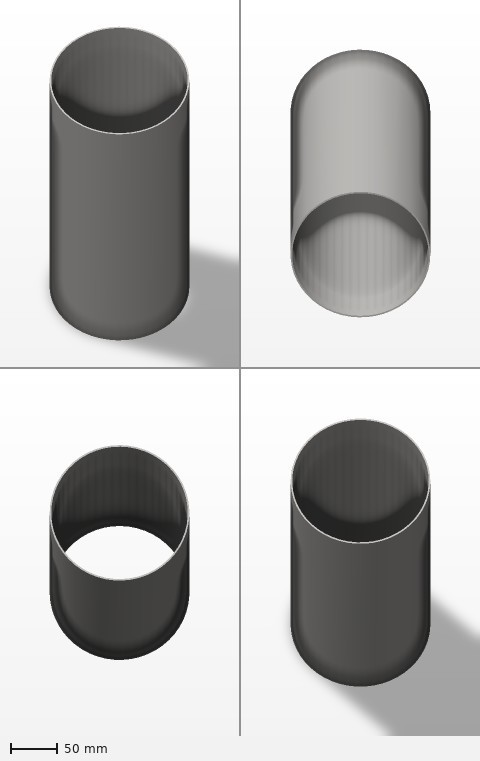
import cadquery as cq

height = 350.0
outer_diameter = 151.5
wall = 1.8

outer_radius = outer_diameter / 2
inner_radius = outer_radius - wall

result = cq.Workplane("XY").circle(outer_radius).circle(inner_radius).extrude(height)